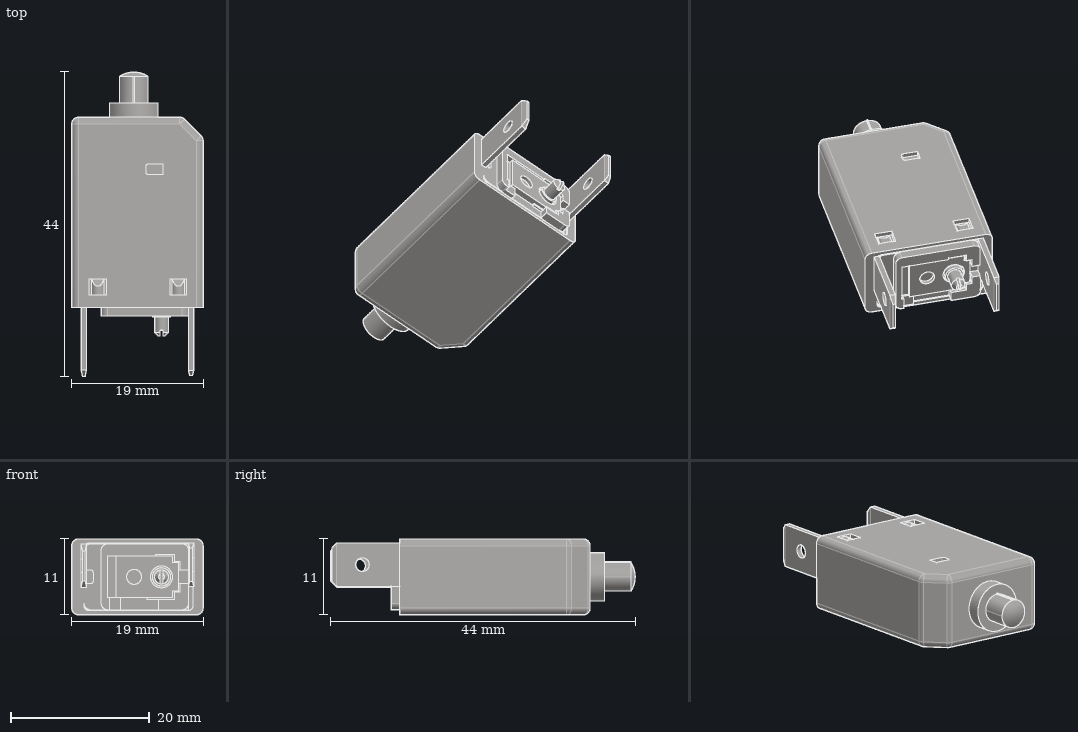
import cadquery as cq


case_width = 19.0
case_length = 27.5
case_height = 11.0
corner_chamfer = 3.0
case_round = 1.0
wall = 0.7

button_x = -0.55
button_radius = 2.05
button_reach = 6.5
dome_height = 0.6
rib_width = 0.18
rib_height = 0.15
collar_radius = 3.5
collar_length = 2.05

blade_thickness = 0.8
blade_height = 6.3
tip_thinning = 0.2
blade_hole_diameter = 1.95
blade_root = 0.9
overall_length = 44.0
left_blade = {
    "x": -7.75,
    "z": 1.6,
    "reach": overall_length - case_length - button_reach,
    "tip": 0.95,
    "hole_distance": 5.95,
}
right_blade = {"x": 7.75, "z": 1.75, "reach": 9.8, "tip": 0.7, "hole_distance": 5.35}

plate_left = -5.25
plate_right = 7.4
plate_height = 9.5
plate_thickness = 1.25
plate_round = 0.92

gap_left = -7.7
gap_right = 8.0
gap_width = 0.11
gap_height = plate_height + 2 * gap_width
gap_depth = 0.2
gap_round = 0.65

pocket_left = -4.3
pocket_depth = 0.9
panel_left = -3.12
panel_shoulder = 5.05
panel_right = 5.9
panel_height = 6.0
panel_tab_height = 4.15
panel_recess = 0.25
panel_gap = 0.25
wide_gap_top_left = 2.65
wide_gap_bottom_left = 1.4
panel_hole_x = -0.5
panel_hole_diameter = 2.15

notch_left = -2.4
notch_right = 3.05
shallow_notch_left = -4.05
shallow_notch_depth = 0.6
channel_height = 2.0

side_recess_right = -6.4
side_recess_depth = 0.45
side_recess_round = 0.4

adjuster_x = 3.48
adjuster_radius = 1.0
adjuster_reach = 4.15
adjuster_chamfer = 0.55
slot_width = 0.4
slot_depth = 0.85
sleeve_radius = 1.3
sleeve_reach = 1.35
sleeve_bore_radius = 1.6
sleeve_bore_depth = 0.45

latch_windows = [(-5.7, 2.55), (5.9, 2.38)]
latch_window_start = 1.85
latch_window_end = 4.15
latch_width = 1.75
latch_crest = 0.55
latch_ramp_start = 3.1
sight_window_left = 1.25
sight_window_right = 3.7
sight_window_start = 19.25
sight_window_end = 20.72
sight_window_round = 0.3


def box(x_range, y_range, z_range):
    """Box spanning the given ranges."""
    size = [high - low for low, high in (x_range, y_range, z_range)]
    corner = (x_range[0], y_range[0], z_range[0])
    return cq.Workplane("XY").box(*size, centered=False).translate(corner)


def centred(size):
    """Range of the given size about zero."""
    return (-size / 2, size / 2)


def rod(x, radius, start, end):
    """Cylinder along Y on the mid-height of the case."""
    return cq.Workplane("XZ", origin=(x, end, 0)).circle(radius).extrude(end - start)


def make_case():
    half = case_width / 2
    outline = [
        (-half, 0),
        (half, 0),
        (half, case_length - corner_chamfer),
        (half - corner_chamfer, case_length),
        (-half, case_length),
    ]
    block = cq.Workplane("XY").polyline(outline).close().extrude(case_height)
    block = block.translate((0, 0, -case_height / 2))
    return block.faces("not <Y").edges("not <Y").fillet(case_round)


def make_parting_gap():
    outer = box((gap_left, gap_right), (0, gap_depth), centred(gap_height))
    outer = outer.edges("|Y").fillet(gap_round)
    flush_base = box((gap_left, plate_right), (0, gap_depth), centred(plate_height))
    flush_base = flush_base.edges("|Y and <X").fillet(plate_round)
    return outer.cut(flush_base)


def make_button():
    tip = case_length + button_reach
    collar = rod(button_x, collar_radius, case_length - wall, case_length + collar_length)
    shoulder = tip - dome_height
    sphere = (button_radius**2 + dome_height**2) / (2 * dome_height)
    half_radius = button_radius / 2
    arc_mid_y = tip - sphere + (sphere**2 - half_radius**2) ** 0.5
    button = (
        cq.Workplane("XY")
        .moveTo(0, case_length)
        .lineTo(button_radius, case_length)
        .lineTo(button_radius, shoulder)
        .threePointArc((half_radius, arc_mid_y), (0, tip))
        .close()
        .revolve(360, (0, 0), (0, 1))
        .translate((button_x, 0, 0))
    )
    rib = box(
        (button_x - rib_width / 2, button_x + rib_width / 2),
        (case_length, shoulder),
        (0, button_radius + rib_height),
    )
    return collar.union(button).union(rib)


def make_blade(x, z, reach, tip, hole_distance):
    """Blade with a tip bevelled in thickness and cut off at the corners."""
    half = blade_height / 2
    thick = blade_thickness / 2
    face = [
        (blade_root, -half),
        (blade_root, half),
        (tip - reach, half),
        (-reach, half - tip),
        (-reach, tip - half),
        (tip - reach, -half),
    ]
    edge = [
        (-thick, blade_root),
        (-thick, tip - reach),
        (tip_thinning - thick, -reach),
        (thick - tip_thinning, -reach),
        (thick, tip - reach),
        (thick, blade_root),
    ]
    blade = cq.Workplane("YZ").polyline(face).close().extrude(thick, both=True)
    blade = blade.intersect(cq.Workplane("XY").polyline(edge).close().extrude(half, both=True))
    hole = (
        cq.Workplane("YZ")
        .center(-hole_distance, 0)
        .circle(blade_hole_diameter / 2)
        .extrude(thick, both=True)
    )
    return blade.cut(hole).translate((x, 0, z))


def panel_outline(gap):
    """Panel area over the full plate thickness, its stepped right end grown by a gap."""
    depth = (-plate_thickness, 0)
    body = box((panel_left, panel_shoulder + gap), depth, centred(panel_height))
    tab = box((panel_left, panel_right + gap), depth, centred(panel_tab_height + gap))
    return body.union(tab)


def make_plate():
    plate = box((plate_left, plate_right), (-plate_thickness, 0), centred(plate_height))
    plate = plate.edges("|Y").fillet(plate_round)

    front = -plate_thickness
    floor = front + pocket_depth
    half_panel = panel_height / 2
    half_wide = half_panel + panel_gap
    shoulder = panel_shoulder + panel_gap
    pocket = panel_outline(panel_gap)
    pocket = pocket.union(box((pocket_left, panel_left), (front, 0), centred(panel_height)))
    pocket = pocket.union(box((wide_gap_top_left, shoulder), (front, 0), (0, half_wide)))
    pocket = pocket.union(box((wide_gap_bottom_left, shoulder), (front, 0), (-half_wide, 0)))
    pocket = pocket.intersect(box(centred(case_width), (front, floor), centred(case_height)))

    below = (-plate_height / 2, -half_panel)
    notch = box((notch_left, notch_right), (front, 0), (-plate_height / 2, -half_wide))
    notch = notch.union(box((notch_left, wide_gap_bottom_left), (front, 0), below))
    shallow_end = front + shallow_notch_depth
    shallow_notch = box((shallow_notch_left, notch_left), (front, shallow_end), below)
    channel = box((panel_right, plate_right), (front, 0), centred(channel_height))
    plate = plate.cut(pocket).cut(notch).cut(shallow_notch).cut(channel)

    panel_front = front + panel_recess
    panel = panel_outline(0).intersect(
        box(centred(case_width), (panel_front, 0), centred(case_height))
    )
    panel = panel.cut(rod(panel_hole_x, panel_hole_diameter / 2, panel_front, 0))
    bore_floor = panel_front + sleeve_bore_depth
    panel = panel.cut(rod(adjuster_x, sleeve_bore_radius, panel_front, bore_floor))
    return plate.union(panel)


def make_adjuster():
    shaft = rod(adjuster_x, adjuster_radius, -adjuster_reach, 0)
    shaft = shaft.faces("<Y").chamfer(adjuster_chamfer)
    slot = box(
        (adjuster_x - slot_width / 2, adjuster_x + slot_width / 2),
        (-adjuster_reach, slot_depth - adjuster_reach),
        centred(2 * adjuster_radius),
    )
    sleeve = rod(adjuster_x, sleeve_radius, -sleeve_reach, 0)
    return shaft.cut(slot).union(sleeve)


def make_side_recess():
    recess = box((left_blade["x"], side_recess_right), (0, side_recess_depth), centred(channel_height))
    return recess.edges("|Y and >X").fillet(side_recess_round)


def make_latch_window(x, width):
    """Window with a round-backed latch on its floor, ramped down towards +Y."""
    floor = case_height / 2 - wall
    y_range = (latch_window_start, latch_window_end)
    half_window = width / 2
    window = box((x - half_window, x + half_window), y_range, (floor, case_height / 2))
    half = latch_width / 2
    latch = (
        cq.Workplane("XZ", origin=(x, latch_window_end, floor))
        .moveTo(-half, 0)
        .threePointArc((0, latch_crest), (half, 0))
        .close()
        .extrude(latch_window_end - latch_window_start)
    )
    ramp = (
        cq.Workplane("YZ", origin=(x, 0, floor))
        .moveTo(latch_ramp_start, latch_crest)
        .lineTo(latch_window_end, latch_crest)
        .lineTo(latch_window_end, 0)
        .close()
        .extrude(half, both=True)
    )
    return window.cut(latch.cut(ramp))


def make_sight_window():
    window = box(
        (sight_window_left, sight_window_right),
        (sight_window_start, sight_window_end),
        (case_height / 2 - wall, case_height / 2),
    )
    return window.edges("|Z and <X").fillet(sight_window_round)


result = make_case()
result = result.cut(make_parting_gap()).cut(make_side_recess()).cut(make_sight_window())
for window_x, window_width in latch_windows:
    result = result.cut(make_latch_window(window_x, window_width))
result = result.union(make_button()).union(make_plate()).union(make_adjuster())
for blade in (left_blade, right_blade):
    result = result.union(make_blade(**blade))